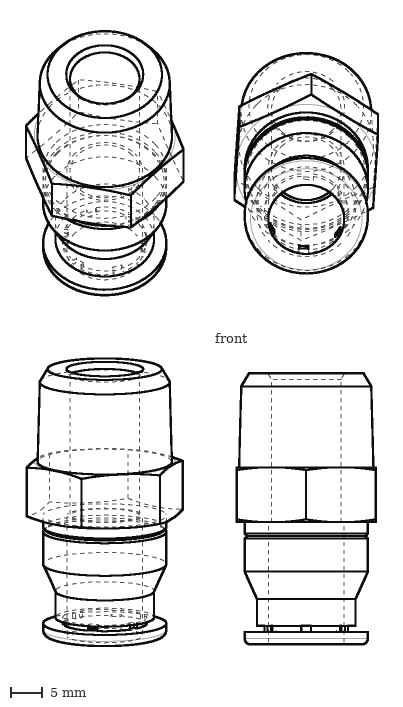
import cadquery as cq
import math

total_height = 42.9
ring_top = 1.97
sleeve_bottom = 2.9
cone_bottom = 7.15
cone_top = 11.5
groove_center = 17.1
hex_bottom = 19.35
hex_top = 27.95
tip_chamfer_height = 2.1

body_diameter = 19.5
sleeve_diameter = 15.6
collet_diameter = 13.3
socket_diameter = 12.0
bore_diameter = 11.0
bore_mouth_diameter = 12.2
thread_base_diameter = 21.28
thread_end_diameter = 20.6
tip_diameter = 18.1

across_flats = 22.0
across_corners = across_flats / math.cos(math.radians(30))
hex_face_diameter = 22.3
hex_chamfer_angle = 15.0

ring_edge_radius = 0.95
groove_depth = 0.4
slot_count = 6
slot_width = 1.5
bore_chamfer_angle = 30.0


def revolve_profile(points):
    """Revolve a closed (radius, height) outline about the Z axis."""
    return cq.Workplane("XZ").polyline(points).close().revolve(360, (0, 0), (0, 1))


def cylinder(diameter, bottom, top):
    return cq.Workplane("XY").workplane(offset=bottom).circle(diameter / 2).extrude(top - bottom)


def make_release_ring():
    return cylinder(body_diameter, 0, ring_top).faces("<Z").edges().fillet(ring_edge_radius)


def make_collet():
    """Thin neck between ring and sleeve, split by radial slots."""
    collet = cylinder(collet_diameter, ring_top, sleeve_bottom)
    slot_height = sleeve_bottom - ring_top
    for index in range(slot_count):
        slot = (
            cq.Workplane("XY")
            .box(slot_width, collet_diameter, slot_height, centered=(True, False, False))
            .rotate((0, 0, 0), (0, 0, 1), index * 360 / slot_count)
            .translate((0, 0, ring_top))
        )
        collet = collet.cut(slot)
    return collet


def make_body():
    """Sleeve, cone and grooved cylinder below the hexagon."""
    body_radius = body_diameter / 2
    sleeve_radius = sleeve_diameter / 2
    return revolve_profile([
        (0, sleeve_bottom),
        (sleeve_radius, sleeve_bottom),
        (sleeve_radius, cone_bottom),
        (body_radius, cone_top),
        (body_radius, groove_center - groove_depth),
        (body_radius - groove_depth, groove_center),
        (body_radius, groove_center + groove_depth),
        (body_radius, hex_bottom),
        (0, hex_bottom),
    ])


def make_hexagon():
    """Hexagon with corners on the Y axis, chamfered at both ends."""
    prism = (
        cq.Workplane("XY")
        .workplane(offset=hex_bottom)
        .polygon(6, across_corners)
        .extrude(hex_top - hex_bottom)
        .rotate((0, 0, 0), (0, 0, 1), 30)
    )
    face_radius = hex_face_diameter / 2
    corner_radius = across_corners / 2
    chamfer_height = (corner_radius - face_radius) * math.tan(math.radians(hex_chamfer_angle))
    envelope = revolve_profile([
        (0, hex_bottom),
        (face_radius, hex_bottom),
        (corner_radius, hex_bottom + chamfer_height),
        (corner_radius, hex_top - chamfer_height),
        (face_radius, hex_top),
        (0, hex_top),
    ])
    return prism.intersect(envelope)


def make_thread():
    """Tapered thread envelope with a chamfered tip."""
    return revolve_profile([
        (0, hex_top),
        (thread_base_diameter / 2, hex_top),
        (thread_end_diameter / 2, total_height - tip_chamfer_height),
        (tip_diameter / 2, total_height),
        (0, total_height),
    ])


def make_passage():
    """Tube socket from below, narrower bore above with a chamfered mouth."""
    socket_radius = socket_diameter / 2
    bore_radius = bore_diameter / 2
    mouth_radius = bore_mouth_diameter / 2
    mouth_depth = (mouth_radius - bore_radius) / math.tan(math.radians(bore_chamfer_angle))
    return revolve_profile([
        (0, 0),
        (socket_radius, 0),
        (socket_radius, hex_bottom),
        (bore_radius, hex_bottom),
        (bore_radius, total_height - mouth_depth),
        (mouth_radius, total_height),
        (0, total_height),
    ])


result = (
    make_release_ring()
    .union(make_collet())
    .union(make_body())
    .union(make_hexagon())
    .union(make_thread())
    .cut(make_passage())
)